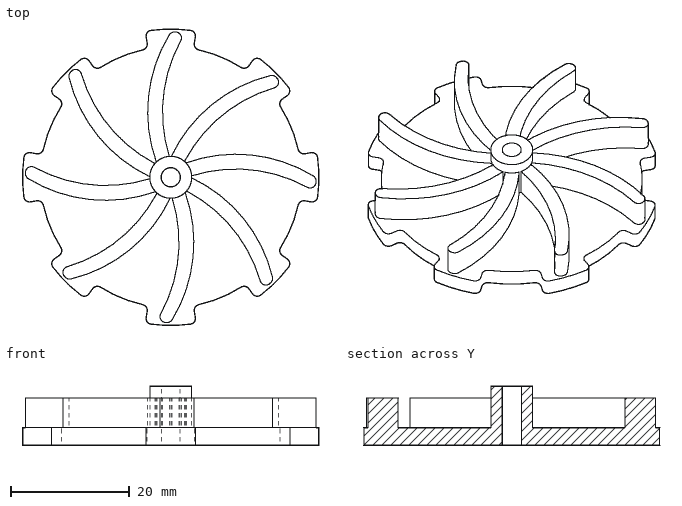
import cadquery as cq
import math

base_height = 3.0
disc_radius = 22.0
tab_radius = 25.0
tab_half_angle = 10.0
tab_fillet_radius = 1.0

blade_count = 8
blade_height = 5.0
blade_tip_radius = 24.5
blade_curve_radius = 25.0
blade_curve_center_x = 22.36
blade_curve_center_y = 11.0
blade_width = 2.5
blade_corner_radius = 1.0

hub_diameter = 7.07
bore_diameter = 3.2
hub_height = 10.0

blade_pitch = 360.0 / blade_count


def polar_point(radius, angle):
    radians = math.radians(angle)
    return (radius * math.cos(radians), radius * math.sin(radians))


def around_axis(shape, angle):
    return shape.rotate((0, 0, 0), (0, 0, 1), angle)


def make_tab():
    """Sector from the axis to the tab radius, centred on +X."""
    return (
        cq.Workplane("XY")
        .lineTo(*polar_point(tab_radius, -tab_half_angle))
        .threePointArc((tab_radius, 0), polar_point(tab_radius, tab_half_angle))
        .close()
        .extrude(base_height)
    )


def make_base():
    base = cq.Workplane("XY").circle(disc_radius).extrude(base_height)
    tab = make_tab()
    for index in range(blade_count):
        base = base.union(around_axis(tab, index * blade_pitch))
    return base.edges("|Z").fillet(tab_fillet_radius)


def make_blade():
    """Blade that leaves the hub and bends to its tip near +Y."""
    left_center_x = blade_curve_center_x - blade_width / 2
    right_center_x = blade_curve_center_x + blade_width / 2

    def curve_point(side_center_x, y):
        reach = math.sqrt(blade_curve_radius**2 - (y - blade_curve_center_y) ** 2)
        return (side_center_x - reach, y)

    top_y = tab_radius
    blade = (
        cq.Workplane("XY")
        .workplane(offset=base_height)
        .moveTo(*curve_point(left_center_x, 0))
        .threePointArc(
            curve_point(left_center_x, blade_curve_center_y), curve_point(left_center_x, top_y)
        )
        .lineTo(*curve_point(right_center_x, top_y))
        .threePointArc(
            curve_point(right_center_x, blade_curve_center_y), curve_point(right_center_x, 0)
        )
        .close()
        .extrude(blade_height)
    )
    tip_limit = cq.Workplane("XY").circle(blade_tip_radius).extrude(hub_height)
    tip_corners = cq.selectors.BoxSelector(
        (-tab_radius, disc_radius, 0), (tab_radius, tab_radius, hub_height)
    )
    return blade.intersect(tip_limit).edges("|Z").edges(tip_corners).fillet(blade_corner_radius)


def make_impeller():
    impeller = make_base()
    blade = make_blade()
    for index in range(blade_count):
        impeller = impeller.union(around_axis(blade, index * blade_pitch))
    hub = cq.Workplane("XY").circle(hub_diameter / 2).extrude(hub_height)
    bore = cq.Workplane("XY").circle(bore_diameter / 2).extrude(hub_height)
    return impeller.union(hub).cut(bore)


result = make_impeller()